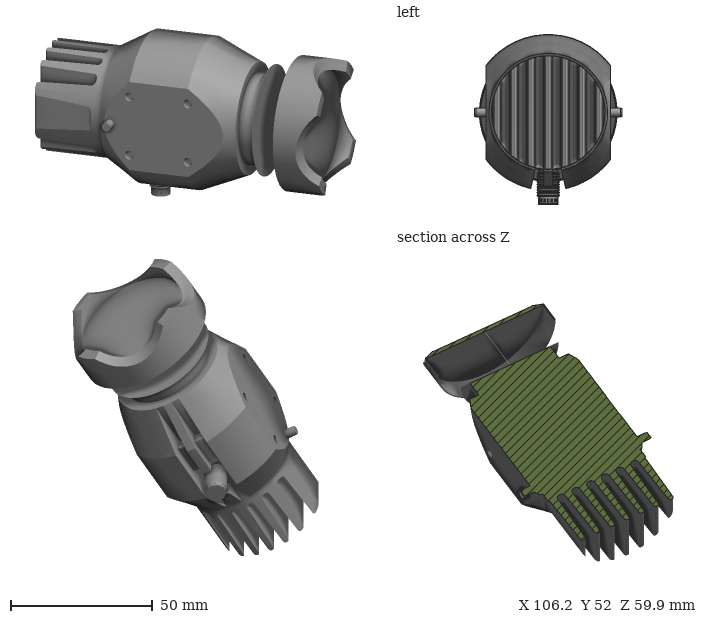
import cadquery as cq
import math


BODY_BACK_X = 25.3
BARREL_BACK_X = 36.5
BARREL_FRONT_X = 58.4
BODY_FRONT_X = 75.5
FLANGE_X = 81.6
FIN_DRUM_RADIUS = 40.0 / 2
BODY_BACK_RADIUS = 20.9
BARREL_RADIUS = 27.5
BODY_FRONT_RADIUS = 40.5 / 2
NECK_RADIUS = 33.0 / 2
FLANGE_RADIUS = 40.0 / 2
FLANGE_THICKNESS = 0.1
FLAT_Y = 22.0

FIN_COUNT = 7
FIN_SPAN = 36.0
FIN_PITCH = FIN_SPAN / (FIN_COUNT - 1)
FIN_TIP_THICKNESS = 2.0
FIN_TIP_ROUND = 1.0
SLOT_DEPTH = 21.9
SLOT_ROOT_WIDTH = 2.9
SLOT_ROOT_ROUND = 1.4

HOLE_DIAMETER = 3.3
HOLE_Z = 10.9
BLIND_HOLE_DEPTH = 3.2
PIN_X = 29.2
PIN_DIAMETER = 3.3
PIN_END_Y = 26.0
PIN_TIP_DIAMETER = 3.0
PIN_TIP_LENGTH = 0.5
LABEL_SIZE = 9.7
LABEL_X = 47.3
LABEL_Z = -2.7
LABEL_DEPTH = 0.1

CHANNEL_HALF_ANGLE = 13
CHANNEL_FLOOR_RADIUS = BODY_FRONT_RADIUS
CHANNEL_STEP_RADIUS = 24.0
RIB_WIDTH = 3.2
RIB_GAP_BACK_X = 34.0
RIB_GAP_FRONT_X = 46.9

CONNECTOR_X = 40.5
CONNECTOR_SEAT_RADIUS = 19.1
CONNECTOR_END_Z = -32.4
CONNECTOR_DIAMETER = 6.9
THREAD_DIAMETER = 8.0
THREAD_START_Z = -21.5
THREAD_PITCH = 1.0
THREAD_COUNT = 9
GROOVE_DIAMETER = 6.5
GROOVE_WIDTH = 0.4
GROOVE_LIP = 0.1
KNURL_COUNT = 16
KNURL_TOP_Z = -30.6
KNURL_HEIGHT = 0.8
KNURL_WIDTH = 0.4
KNURL_DEPTH = 0.2

CAP_BACK_X = 90.9
CAP_FRONT_X = 106.2
CAP_RADIUS = 48.5 / 2
CAP_SKIRT_WALL = 0.4
CAP_WEB_BACK_X = 98.9
CAP_WEB_FRONT_X = 100.6
CAP_RECESS_RADIUS = 40.5 / 2
SCALLOP_COUNT = 4
SCALLOP_RADIUS = 21.8
SCALLOP_BOTTOM_X = 99.3
SCALLOP_HALF_ANGLE = 20
SCALLOP_TURN = 4.8
SPINDLE_DIAMETER = 0.2


def turned(points):
    """Solid of revolution about X from (x, radius) points."""
    return cq.Workplane("XY").polyline(points).close().revolve(360, (0, 0, 0), (1, 0, 0))


def rod_x(radius, start, end):
    return cq.Workplane("YZ", origin=(start, 0, 0)).circle(radius).extrude(end - start)


def rod_down(diameter, top, bottom):
    plane = cq.Workplane("XY", origin=(CONNECTOR_X, 0, bottom))
    return plane.circle(diameter / 2).extrude(top - bottom)


def rod_y(diameter, x, z, start, end):
    plane = cq.Workplane("XZ", origin=(x, start, z))
    return plane.circle(diameter / 2).extrude(start - end)


def double_cone():
    body = turned([
        (BODY_BACK_X, 0),
        (BODY_BACK_X, BODY_BACK_RADIUS),
        (BARREL_BACK_X, BARREL_RADIUS),
        (BARREL_FRONT_X, BARREL_RADIUS),
        (BODY_FRONT_X, BODY_FRONT_RADIUS),
        (BODY_FRONT_X, 0),
    ])
    slab = cq.Workplane("XY").box(2 * BODY_FRONT_X, 2 * FLAT_Y, 4 * BARREL_RADIUS)
    return body.intersect(slab)


def channel():
    """Wedge-shaped space under the housing, outside its stepped floor."""
    depth = 2 * BARREL_RADIUS
    half_width = depth * math.tan(math.radians(CHANNEL_HALF_ANGLE))
    wedge = (
        cq.Workplane("YZ", origin=(BODY_BACK_X, 0, 0))
        .polyline([(0, 0), (-half_width, -depth), (half_width, -depth)])
        .close()
        .extrude(BODY_FRONT_X - BODY_BACK_X)
    )
    floor = rod_x(CHANNEL_FLOOR_RADIUS, BODY_BACK_X, BODY_FRONT_X)
    step = rod_x(CHANNEL_STEP_RADIUS, RIB_GAP_FRONT_X, BARREL_FRONT_X)
    return wedge.cut(floor).cut(step)


def rib(body, start, end):
    """Strip of the full housing profile left standing in the channel."""
    strip = cq.Workplane("XY").box(
        end - start, RIB_WIDTH, BARREL_RADIUS, centered=(False, True, False)
    )
    return body.intersect(strip.translate((start, 0, -BARREL_RADIUS)))


def fin_slot(y):
    """Tapered slot with a rounded root, open at the fin tips."""
    tip_half = (FIN_PITCH - FIN_TIP_THICKNESS) / 2
    root_half = SLOT_ROOT_WIDTH / 2
    height = 4 * FIN_DRUM_RADIUS
    return (
        cq.Workplane("XY", origin=(0, y, -height / 2))
        .polyline([(0, -tip_half), (SLOT_DEPTH, -root_half), (SLOT_DEPTH, root_half), (0, tip_half)])
        .close()
        .extrude(height)
        .edges("|Z and >X")
        .fillet(SLOT_ROOT_ROUND)
    )


def finned_drum():
    drum = rod_x(FIN_DRUM_RADIUS, 0, BODY_BACK_X)
    for i in range(FIN_COUNT + 1):
        drum = drum.cut(fin_slot((i - FIN_COUNT / 2) * FIN_PITCH))
    return drum.faces("<X").edges("|Z").fillet(FIN_TIP_ROUND)


def blind_hole(side, z):
    """Hole with a drill point, entering the flat on the given side."""
    radius = HOLE_DIAMETER / 2
    hole = (
        cq.Workplane("XY")
        .polyline([(0, 0), (radius, 0), (radius, BLIND_HOLE_DEPTH), (0, BLIND_HOLE_DEPTH + radius)])
        .close()
        .revolve(360, (0, 0, 0), (0, 1, 0))
    )
    if side > 0:
        hole = hole.mirror("XZ")
    return hole.translate((BARREL_BACK_X, side * FLAT_Y, z))


def pivot_pins():
    shoulder = PIN_END_Y - PIN_TIP_LENGTH
    pins = rod_y(PIN_TIP_DIAMETER, PIN_X, 0, -PIN_END_Y, PIN_END_Y)
    return pins.union(rod_y(PIN_DIAMETER, PIN_X, 0, -shoulder, shoulder))


def label_recess():
    box = cq.Workplane("XY").box(LABEL_SIZE, 2 * LABEL_DEPTH, LABEL_SIZE)
    return box.translate((LABEL_X, -FLAT_Y, LABEL_Z))


def connector():
    body = rod_down(CONNECTOR_DIAMETER, -CONNECTOR_SEAT_RADIUS, CONNECTOR_END_Z)
    core_radius = CONNECTOR_DIAMETER / 2
    ridge = (
        cq.Workplane("XZ")
        .polyline([
            (0, THREAD_PITCH / 2),
            (core_radius, THREAD_PITCH / 2),
            (THREAD_DIAMETER / 2, 0),
            (core_radius, -THREAD_PITCH / 2),
            (0, -THREAD_PITCH / 2),
        ])
        .close()
        .revolve(360, (0, 0, 0), (0, 1, 0))
    )
    for i in range(THREAD_COUNT):
        body = body.union(ridge.translate((CONNECTOR_X, 0, THREAD_START_Z - i * THREAD_PITCH)))

    groove_bottom = CONNECTOR_END_Z + GROOVE_LIP
    groove_top = groove_bottom + GROOVE_WIDTH
    groove = rod_down(THREAD_DIAMETER, groove_top, groove_bottom)
    body = body.cut(groove.cut(rod_down(GROOVE_DIAMETER, groove_top, groove_bottom)))

    knurls = (
        cq.Workplane("XY", origin=(CONNECTOR_X, 0, KNURL_TOP_Z - KNURL_HEIGHT))
        .polarArray(core_radius, 0, 360, KNURL_COUNT)
        .rect(2 * KNURL_DEPTH, KNURL_WIDTH)
        .extrude(KNURL_HEIGHT)
    )
    return body.cut(knurls)


def scallop():
    """Conical cutter on a radial axis towards -Y, widening outwards so the rim is bevelled."""
    centre_x = SCALLOP_BOTTOM_X + SCALLOP_RADIUS
    slope = math.tan(math.radians(SCALLOP_HALF_ANGLE))
    return (
        cq.Workplane("XY")
        .polyline([
            (centre_x, -CAP_RADIUS),
            (SCALLOP_BOTTOM_X, -CAP_RADIUS),
            (centre_x, SCALLOP_RADIUS / slope - CAP_RADIUS),
        ])
        .close()
        .revolve(360, (centre_x, 0, 0), (centre_x, 1, 0))
    )


def cap():
    body = rod_x(CAP_RADIUS, CAP_BACK_X, CAP_FRONT_X)
    body = body.cut(rod_x(CAP_RADIUS - CAP_SKIRT_WALL, CAP_BACK_X, CAP_WEB_BACK_X))
    body = body.cut(rod_x(CAP_RECESS_RADIUS, CAP_WEB_FRONT_X, CAP_FRONT_X))
    for i in range(SCALLOP_COUNT):
        turn = SCALLOP_TURN + i * 360 / SCALLOP_COUNT
        body = body.cut(scallop().rotate((0, 0, 0), (1, 0, 0), turn))
    return body


def housing():
    full_body = double_cone()
    body = full_body.cut(channel())
    body = body.union(rib(full_body, BODY_BACK_X, RIB_GAP_BACK_X))
    body = body.union(rib(full_body, RIB_GAP_FRONT_X, BODY_FRONT_X))
    body = body.union(rod_x(NECK_RADIUS, BODY_FRONT_X, FLANGE_X))
    return body.union(rod_x(FLANGE_RADIUS, FLANGE_X - FLANGE_THICKNESS, FLANGE_X))


result = housing().union(finned_drum()).union(pivot_pins()).union(connector())
for hole_z in (-HOLE_Z, HOLE_Z):
    result = result.cut(rod_y(HOLE_DIAMETER, BARREL_FRONT_X, hole_z, -FLAT_Y, FLAT_Y))
    for hole_side in (-1, 1):
        result = result.cut(blind_hole(hole_side, hole_z))
result = result.cut(label_recess())

result = result.union(cap())
result = result.union(rod_x(SPINDLE_DIAMETER / 2, FLANGE_X, CAP_WEB_BACK_X))